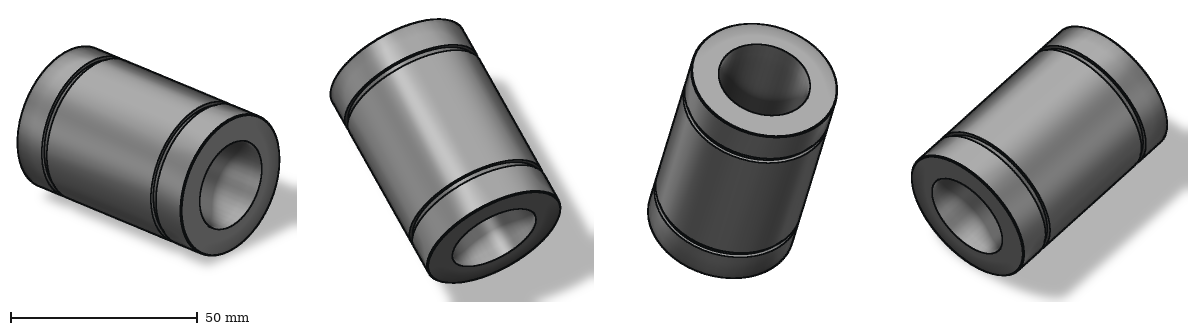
import cadquery as cq

length = 59.0
outer_diameter = 40.0
bore_diameter = 25.0
edge_chamfer = 0.3

groove_diameter = 38.0
groove_width = 1.8
groove_end_distance = 9.0


def cylinder(diameter, start_x, cylinder_length):
    """Solid cylinder along +X, starting at start_x."""
    plane = cq.Workplane("YZ", origin=(start_x, 0, 0))
    return plane.circle(diameter / 2).extrude(cylinder_length)


def groove_ring(start_x):
    """Ring of material removed to form one groove."""
    outer = cylinder(outer_diameter, start_x, groove_width)
    return outer.cut(cylinder(groove_diameter, start_x, groove_width))


body = cylinder(outer_diameter, -length / 2, length)
body = body.faces("<X or >X").edges().chamfer(edge_chamfer)

body = body.cut(cylinder(bore_diameter, -length / 2, length))

left_groove_start = -length / 2 + groove_end_distance
right_groove_start = length / 2 - groove_end_distance - groove_width
for groove_start in (left_groove_start, right_groove_start):
    body = body.cut(groove_ring(groove_start))

result = body